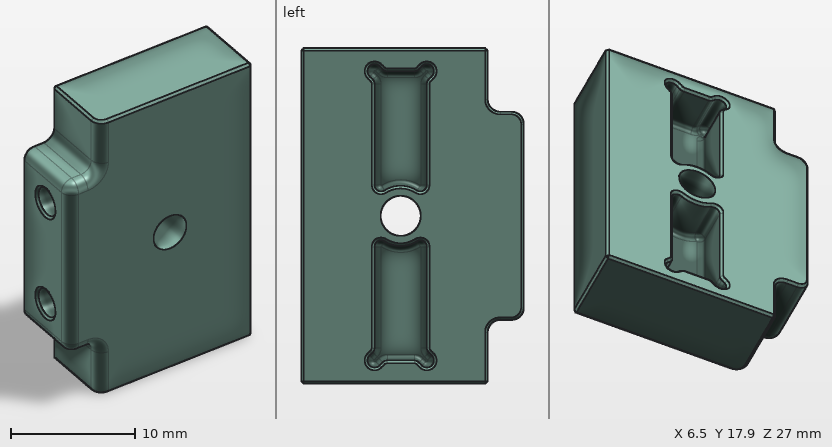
import cadquery as cq
import math

THICKNESS = 6.5
HEIGHT = 27.0
OVERALL_WIDTH = 17.9
BACK_Y = 8.0
FRONT_Y = BACK_Y - OVERALL_WIDTH

PAD_RISE = 2.9
PAD_HEIGHT = 16.75
PAD_RADIUS = 1.0
SHOULDER_Y = FRONT_Y + PAD_RISE

FRONT_EDGE_RADIUS = 1.0
EDGE_CHAMFER = 0.22

BORE_DIAMETER = 3.2

BLIND_DIAMETER = 2.5
BLIND_MOUTH_DIAMETER = 2.9
BLIND_DEPTH = 6.0
BLIND_SPACING = 10.0
DRILL_POINT_ANGLE = 118.0

POCKET_WIDTH = 4.2
POCKET_END_Z = 11.62
POCKET_DEPTH = 3.6
POCKET_FLOOR_RADIUS = 0.5
POCKET_CORNER_RADIUS = 0.52
POCKET_CHAMFER = 0.22
BOSS_RADIUS = 2.42
RELIEF_RADIUS = 0.57
RELIEF_LENGTH = 3.0
RELIEF_ANGLE = 45.0


def make_body():
    """Stepped block with rounded pad corners and finished outer edges."""
    half_height = HEIGHT / 2
    half_pad = PAD_HEIGHT / 2
    outline = [
        (BACK_Y, -half_height),
        (BACK_Y, half_height),
        (SHOULDER_Y, half_height),
        (SHOULDER_Y, half_pad),
        (FRONT_Y, half_pad),
        (FRONT_Y, -half_pad),
        (SHOULDER_Y, -half_pad),
        (SHOULDER_Y, -half_height),
    ]
    body = cq.Workplane("YZ").polyline(outline).close().extrude(THICKNESS)

    pad_zone = cq.selectors.BoxSelector(
        (0, FRONT_Y - PAD_RADIUS, -half_pad - PAD_RADIUS),
        (THICKNESS, SHOULDER_Y + PAD_RADIUS, half_pad + PAD_RADIUS),
    )
    body = body.edges("|X").edges(pad_zone).fillet(PAD_RADIUS)

    body = body.faces(">X").edges("<Y").fillet(FRONT_EDGE_RADIUS)

    return body.faces("<X or >Y or >Z or <Z").edges().chamfer(EDGE_CHAMFER)


def cut_bore(body):
    """Plain through hole along X."""
    bore = cq.Workplane("YZ").circle(BORE_DIAMETER / 2).extrude(THICKNESS)
    return body.cut(bore)


def cut_blind_holes(body):
    """Pair of chamfered, drill-pointed holes entering the pad along +Y."""
    radius = BLIND_DIAMETER / 2
    mouth_radius = BLIND_MOUTH_DIAMETER / 2
    mouth_depth = mouth_radius - radius
    point_length = radius / math.tan(math.radians(DRILL_POINT_ANGLE / 2))
    axis_x = THICKNESS / 2
    half_section = [
        (0, 0),
        (mouth_radius, 0),
        (radius, mouth_depth),
        (radius, BLIND_DEPTH),
        (0, BLIND_DEPTH + point_length),
    ]
    drill = cq.Workplane("XY").polyline(half_section).close().revolve(axisStart=(0, 0), axisEnd=(0, 1))
    for axis_z in (-BLIND_SPACING / 2, BLIND_SPACING / 2):
        body = body.cut(drill.translate((axis_x, FRONT_Y, axis_z)))
    return body


def make_pocket():
    """Upper pocket volume: concave end around the bore, relieved outer corners, rounded floor."""
    half_width = POCKET_WIDTH / 2
    pocket = (
        cq.Workplane("YZ")
        .center(0, POCKET_END_Z / 2)
        .rect(POCKET_WIDTH, POCKET_END_Z)
        .extrude(POCKET_DEPTH)
        .cut(cq.Workplane("YZ").circle(BOSS_RADIUS).extrude(POCKET_DEPTH))
    )
    pocket = pocket.solids(">Z")

    corner_points = []
    boss_corner_z = math.sqrt(BOSS_RADIUS**2 - half_width**2)
    relief_reach = RELIEF_RADIUS / math.sin(math.radians(RELIEF_ANGLE))
    inset = (RELIEF_LENGTH / 2 - RELIEF_RADIUS) * math.sin(math.radians(RELIEF_ANGLE))
    for side in (-1, 1):
        relief = (
            cq.Workplane("YZ")
            .center(side * (half_width - inset), POCKET_END_Z - inset)
            .slot2D(RELIEF_LENGTH, 2 * RELIEF_RADIUS, side * RELIEF_ANGLE)
            .extrude(POCKET_DEPTH)
        )
        pocket = pocket.union(relief)
        corner_points += [
            (side * half_width, boss_corner_z),
            (side * half_width, POCKET_END_Z - relief_reach),
            (side * (half_width - relief_reach), POCKET_END_Z),
        ]

    for y, z in corner_points:
        corner = cq.selectors.NearestToPointSelector((POCKET_DEPTH / 2, y, z))
        pocket = pocket.edges("|X").edges(corner).fillet(POCKET_CORNER_RADIUS)
    return pocket.faces(">X").edges().fillet(POCKET_FLOOR_RADIUS)


def cut_pockets(body):
    """Cut both pockets and chamfer their mouths."""
    upper = make_pocket()
    body = body.cut(upper).cut(upper.mirror("XY"))
    margin = RELIEF_RADIUS + EDGE_CHAMFER
    reach_y = POCKET_WIDTH / 2 + margin
    reach_z = POCKET_END_Z + margin
    for side in (-1, 1):
        mouth = cq.selectors.BoxSelector(
            (-EDGE_CHAMFER / 2, -reach_y, side * BORE_DIAMETER / 2),
            (EDGE_CHAMFER / 2, reach_y, side * reach_z),
        )
        body = body.edges(mouth).chamfer(POCKET_CHAMFER)
    return body


result = cut_pockets(cut_blind_holes(cut_bore(make_body())))